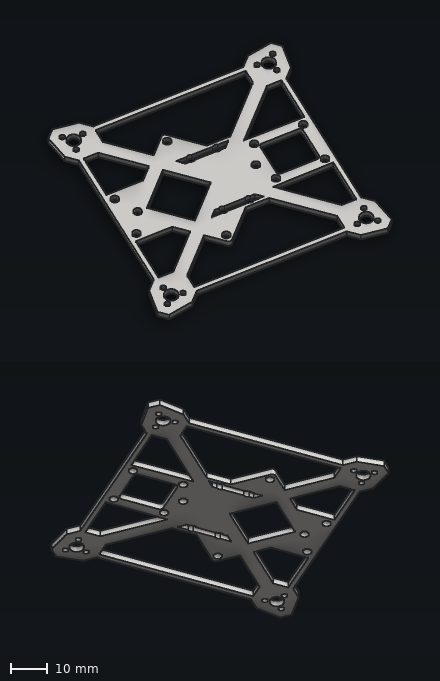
import cadquery as cq
import math

plate_thickness = 2.0
frame_half = 31.65
rail_width = 1.5
frame_inner = frame_half - rail_width

arm_width = 4.0
arm_offset = arm_width / math.sqrt(2)

motor_center = 29.75
motor_bore_diameter = 4.0
motor_screw_diameter = 1.6
motor_screw_circle_radius = 3.3
motor_screw_count = 3
pad_tip_far = 35.71
pad_tip_near = 33.35
pad_shoulder_near = 25.75
pad_shoulder_far = 34.5
pad_root = 22.87

spine_half_width = 8.95
spine_half_width_top = 8.78
waist_half_width = 11.87

screw_diameter = 2.4
controller_y = -7.1
controller_radius = 18.03
strut_outer = controller_radius + arm_offset
ear_radius = 1.0

camera_half_width = 5.76
camera_y_min = 14.8
camera_y_max = 27.75
camera_corner_radius = 1.0
spine_screw_x = 6.63
spine_screw_rows = (28.7, 13.75, -28.8)

slot_inner_x = spine_half_width
slot_outer_x = 10.79
slot_relief_x = (slot_inner_x + slot_outer_x) / 2
slot_relief_y = 4.0


def prism(points):
    """Full-thickness prism over a closed polygon."""
    return cq.Workplane("XY").polyline(points).close().extrude(plate_thickness)


def drill(points, diameter):
    """Full-thickness cylinders at the given points."""
    return cq.Workplane("XY").pushPoints(points).circle(diameter / 2).extrude(plate_thickness)


def both_sides(solid):
    """The solid together with its mirror image across the YZ plane."""
    return solid.union(solid.mirror("YZ"))


def plate_blank():
    """Square plate with a pointed motor pad on every corner."""
    pad = [
        (pad_root, frame_half),
        (pad_shoulder_near, pad_shoulder_far),
        (pad_tip_near, pad_tip_far),
        (pad_tip_far, pad_tip_near),
        (pad_shoulder_far, pad_shoulder_near),
        (frame_half, pad_root),
    ]
    outline = []
    for quarter in range(4):
        cosine = (1, 0, -1, 0)[quarter]
        sine = (0, 1, 0, -1)[quarter]
        for x, y in reversed(pad):
            outline.append((x * cosine - y * sine, x * sine + y * cosine))
    return prism(outline)


def motor_holes():
    """Motor bore and three screw holes, one screw pointing outwards on each diagonal."""
    centers = []
    screws = []
    for quarter in range(4):
        diagonal = math.radians(45 + 90 * quarter)
        x = motor_center * math.sqrt(2) * math.cos(diagonal)
        y = motor_center * math.sqrt(2) * math.sin(diagonal)
        centers.append((x, y))
        for index in range(motor_screw_count):
            angle = diagonal + index * 2 * math.pi / motor_screw_count
            screws.append((
                x + motor_screw_circle_radius * math.cos(angle),
                y + motor_screw_circle_radius * math.sin(angle),
            ))
    return drill(centers, motor_bore_diameter).union(drill(screws, motor_screw_diameter))


def side_window():
    """Opening between the right rail, two arms and the body with its mounting ear."""
    notch_y = (controller_y - strut_outer + arm_offset) / 2
    window = prism([
        (frame_inner, pad_root),
        (pad_root + arm_offset, pad_root),
        (waist_half_width, waist_half_width - arm_offset),
        (waist_half_width, controller_y + strut_outer - waist_half_width),
        (strut_outer, controller_y),
        (arm_offset - notch_y, notch_y),
        (pad_root + arm_offset, -pad_root),
        (frame_inner, -pad_root),
    ])
    ear_edge = cq.selectors.NearestToPointSelector((strut_outer, controller_y, plate_thickness / 2))
    return both_sides(window.edges("|Z").edges(ear_edge).fillet(ear_radius))


def front_window():
    """Triangular opening between the front rail, an arm and the spine."""
    return both_sides(prism([
        (spine_half_width_top, frame_inner),
        (pad_root, frame_inner),
        (pad_root, pad_root + arm_offset),
        (spine_half_width, spine_half_width + arm_offset),
    ]))


def rear_window():
    """Opening between the rear rail, an arm, a strut and the spine."""
    strut_y = controller_y - strut_outer
    apex_y = (strut_y - arm_offset) / 2
    return both_sides(prism([
        (spine_half_width, -frame_inner),
        (pad_root, -frame_inner),
        (pad_root, -pad_root - arm_offset),
        (-arm_offset - apex_y, apex_y),
        (spine_half_width, strut_y + spine_half_width),
    ]))


def diamond_window():
    """Square opening on its corner, between the crossing arms and the struts."""
    top = -arm_offset
    bottom = controller_y - controller_radius + arm_offset
    middle = (top + bottom) / 2
    half = (top - bottom) / 2
    return prism([(0, top), (half, middle), (0, bottom), (-half, middle)])


def camera_window():
    """Rounded rectangular opening in the front of the spine."""
    return (
        cq.Workplane("XY")
        .center(0, (camera_y_min + camera_y_max) / 2)
        .rect(2 * camera_half_width, camera_y_max - camera_y_min)
        .extrude(plate_thickness)
        .edges("|Z")
        .fillet(camera_corner_radius)
    )


def strap_slots():
    """Narrow slots ending along the arm edges, each widened by two round reliefs."""
    slot = prism([
        (slot_inner_x, slot_inner_x - arm_offset),
        (slot_outer_x, slot_outer_x - arm_offset),
        (slot_outer_x, arm_offset - slot_outer_x),
        (slot_inner_x, arm_offset - slot_inner_x),
    ])
    reliefs = drill([(slot_relief_x, slot_relief_y), (slot_relief_x, -slot_relief_y)], screw_diameter)
    return both_sides(slot.union(reliefs))


def controller_holes():
    """Four flight controller screw holes."""
    return drill(
        [
            (0, controller_y + controller_radius),
            (0, controller_y - controller_radius),
            (controller_radius, controller_y),
            (-controller_radius, controller_y),
        ],
        screw_diameter,
    )


def spine_holes():
    """Pairs of screw holes along the spine."""
    return drill(
        [(side * spine_screw_x, y) for y in spine_screw_rows for side in (-1, 1)],
        screw_diameter,
    )


result = plate_blank()
for opening in (
    side_window(),
    front_window(),
    rear_window(),
    diamond_window(),
    camera_window(),
    strap_slots(),
    motor_holes(),
    controller_holes(),
    spine_holes(),
):
    result = result.cut(opening)